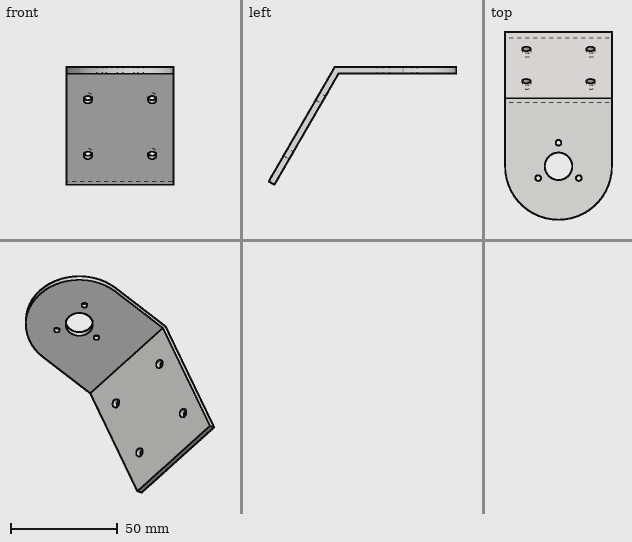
import cadquery as cq
import math

width = 50.0
total_length = 87.8
thickness = 3.2
bend_angle = 60.0
flange_inner_length = 59.95

center_hole_diameter = 12.7
small_hole_diameter = 2.55
small_hole_circle_radius = 11.0
small_hole_count = 3
flange_hole_diameter = 3.95
flange_hole_spacing = 30.0

slope = math.radians(bend_angle)
miter = thickness * math.tan(slope / 2)
flange_outer_length = flange_inner_length + miter
bend_y = total_length - flange_outer_length * math.cos(slope)
tip_radius = width / 2


def bent_plate():
    """Side profile of the bent sheet, extruded across the width."""
    end_y = total_length
    end_z = -flange_outer_length * math.sin(slope)
    profile = [
        (0, 0),
        (bend_y, 0),
        (end_y, end_z),
        (end_y - thickness * math.sin(slope), end_z - thickness * math.cos(slope)),
        (bend_y - miter, -thickness),
        (0, -thickness),
    ]
    return cq.Workplane("YZ").polyline(profile).close().extrude(width / 2, both=True)


def tip_corners():
    """Material outside the semicircular tip of the flat plate."""
    block = (
        cq.Workplane("XY")
        .rect(width, tip_radius)
        .extrude(-thickness)
        .translate((0, tip_radius / 2, 0))
    )
    disc = cq.Workplane("XY").center(0, tip_radius).circle(tip_radius).extrude(-thickness)
    return block.cut(disc)


def flat_plate_holes():
    """Centre hole and its ring of small holes, concentric with the tip."""
    plane = cq.Workplane("XY").center(0, tip_radius)
    center_hole = plane.circle(center_hole_diameter / 2).extrude(-thickness)
    small_holes = (
        plane.polarArray(small_hole_circle_radius, 90, 360, small_hole_count)
        .circle(small_hole_diameter / 2)
        .extrude(-thickness)
    )
    return center_hole.union(small_holes)


def flange_holes():
    """Square pattern of holes through the middle of the sloping flange."""
    middle = flange_outer_length / 2
    outer_face = cq.Plane(
        origin=(0, bend_y + middle * math.cos(slope), -middle * math.sin(slope)),
        xDir=(1, 0, 0),
        normal=(0, math.sin(slope), math.cos(slope)),
    )
    return (
        cq.Workplane(outer_face)
        .rarray(flange_hole_spacing, flange_hole_spacing, 2, 2)
        .circle(flange_hole_diameter / 2)
        .extrude(-thickness)
    )


result = bent_plate().cut(tip_corners()).cut(flat_plate_holes()).cut(flange_holes())